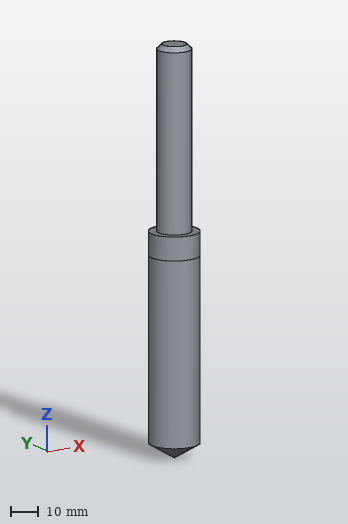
import cadquery as cq
import math

total_length = 152.4
body_diameter = 18.6
shank_diameter = 12.6

collar_bottom = 74.7
collar_top = 83.5

point_angle = 118.0

bevel_size = 1.8

body_radius = body_diameter / 2
shank_radius = shank_diameter / 2
tip_height = body_radius / math.tan(math.radians(point_angle / 2))


def revolve_about_z(points):
    """Revolve a closed (radius, height) outline about the Z axis."""
    return cq.Workplane("XZ").polyline(points).close().revolve(360, (0, 0), (0, 1))


def make_cutting_body():
    """Cylinder with a conical point at its lower end."""
    return revolve_about_z([
        (0, 0),
        (body_radius, tip_height),
        (body_radius, collar_bottom),
        (0, collar_bottom),
    ])


def make_shank():
    """Collar seated on the cutting body, carrying the slim bevelled shank."""
    return revolve_about_z([
        (0, collar_bottom),
        (body_radius, collar_bottom),
        (body_radius, collar_top),
        (shank_radius, collar_top),
        (shank_radius, total_length - bevel_size),
        (shank_radius - bevel_size, total_length),
        (0, total_length),
    ])


cutting_body = make_cutting_body()
shank = make_shank()

result = cq.Compound.makeCompound([cutting_body.val(), shank.val()])